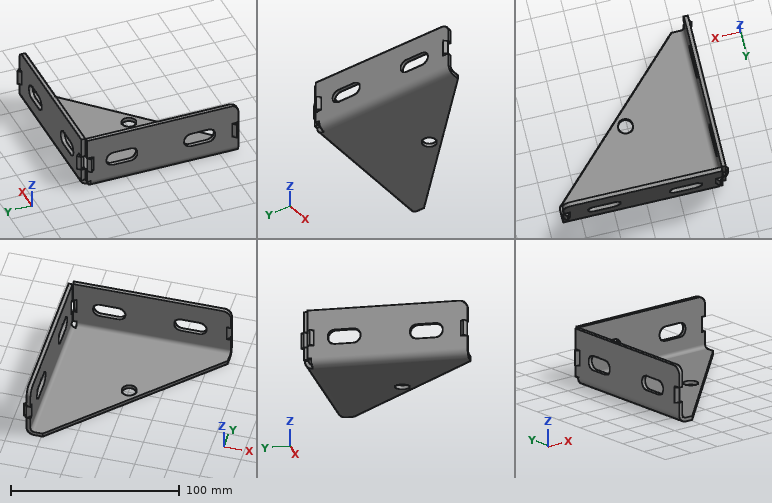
import cadquery as cq

arm_length = 100.0
height = 35.0
bend_outer_radius = 5.0
thickness = bend_outer_radius / 2
bend_inner_radius = bend_outer_radius - thickness
wall_corner_radius = 5.0
floor_end_width = 10.0
floor_hole_diameter = 9.0

slot_length = 20.0
slot_width = 9.0
slot_centers = (arm_length / 4, arm_length * 3 / 4)
mid_height = height / 2

tooth_height = 2.0
tooth_width = 9.4
tooth_bottom = mid_height - tooth_width / 2

corner_gap = 0.15
wall_start = thickness + corner_gap
wall_length = arm_length - wall_start
bend_length = arm_length - bend_outer_radius


def make_floor():
    """Flat floor between the bend lines, cut diagonally across its free side."""
    start = bend_outer_radius
    return (
        cq.Workplane("XY")
        .polyline([
            (start, -start),
            (arm_length, -start),
            (arm_length, -floor_end_width),
            (floor_end_width, -arm_length),
            (start, -arm_length),
        ])
        .close()
        .extrude(thickness)
        .cut(
            cq.Workplane("XY")
            .center(arm_length / 2, -arm_length / 2)
            .circle(floor_hole_diameter / 2)
            .extrude(thickness)
        )
    )


def make_bend():
    """Quarter-round strip joining the floor to the wall at Y = 0."""
    radius = bend_outer_radius
    ring = (
        cq.Workplane("YZ", origin=(radius, -radius, radius))
        .circle(radius)
        .circle(bend_inner_radius)
        .extrude(bend_length)
    )
    quadrant = cq.Workplane("XY").box(arm_length, radius, radius, centered=False)
    return ring.intersect(quadrant.translate((0, -radius, 0)))


def make_tooth_prism(points):
    """Extrude an XY triangle over the height of a tooth."""
    return (
        cq.Workplane("XY", origin=(0, 0, tooth_bottom))
        .polyline(points)
        .close()
        .extrude(tooth_width)
    )


def make_wall():
    """Slotted wall at Y = 0, with a tooth and an inner bevel at each end."""
    wall = (
        cq.Workplane("XY", origin=(wall_start, -thickness, bend_outer_radius))
        .box(wall_length, thickness, height - bend_outer_radius, centered=False)
        .edges("|Y and >X and >Z")
        .fillet(wall_corner_radius)
    )
    slots = (
        cq.Workplane("XZ")
        .pushPoints([(x, mid_height) for x in slot_centers])
        .slot2D(slot_length, slot_width)
        .extrude(thickness)
    )
    wall = wall.cut(slots)

    for end, inward in ((wall_start, 1), (arm_length, -1)):
        bevel = make_tooth_prism([
            (end, 0),
            (end, -thickness),
            (end + inward * thickness, -thickness),
        ])
        tooth = make_tooth_prism([
            (end, 0),
            (end + inward * tooth_height, tooth_height),
            (end + inward * 2 * tooth_height, 0),
        ])
        wall = wall.cut(bevel).union(tooth)
    return wall


back_side = make_wall().union(make_bend())
left_side = back_side.mirror(cq.Vector(1, 1, 0))
result = make_floor().union(back_side).union(left_side)